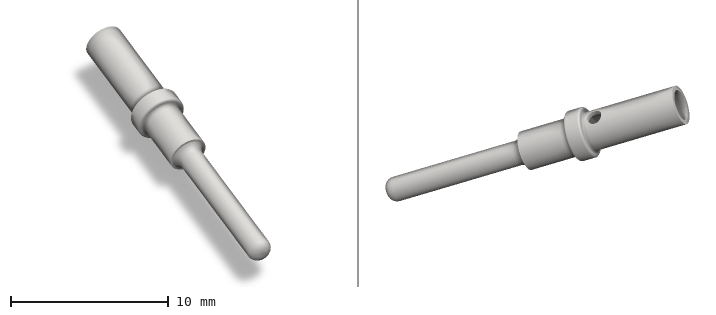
import cadquery as cq
import math

length = 20.57

barrel_radius = 1.28
barrel_end = 10.88

bore_radius = 0.99
bore_depth = 6.17

collar_radius = 1.67
collar_start = 6.35
collar_end = 7.49
collar_edge_round = 0.15
collar_root_fillet = 0.15

pin_radius = 0.8
neck_start_radius = 1.1
neck_length = 0.55
tip_round = 0.6

inspection_hole_radius = 0.5
inspection_hole_x = 5.5


def cylinder(start, end, radius):
    """Solid cylinder on the X axis between two X positions."""
    return cq.Workplane("YZ", origin=(start, 0, 0)).circle(radius).extrude(end - start)


def collar():
    """Collar with rounded rims and concave fillets down to the barrel."""
    start, end = collar_start, collar_end
    rim = collar_radius - collar_edge_round
    root = barrel_radius + collar_root_fillet
    return (
        cq.Workplane("XY")
        .moveTo(start - collar_root_fillet, 0)
        .lineTo(start - collar_root_fillet, barrel_radius)
        .radiusArc((start, root), -collar_root_fillet)
        .lineTo(start, rim)
        .radiusArc((start + collar_edge_round, collar_radius), collar_edge_round)
        .lineTo(end - collar_edge_round, collar_radius)
        .radiusArc((end, rim), collar_edge_round)
        .lineTo(end, root)
        .radiusArc((end + collar_root_fillet, barrel_radius), -collar_root_fillet)
        .lineTo(end + collar_root_fillet, 0)
        .close()
        .revolve(360, (0, 0, 0), (1, 0, 0))
    )


def neck():
    """Concave flare from the barrel shoulder, running tangent into the pin."""
    rise = neck_start_radius - pin_radius
    flare_radius = math.hypot(neck_length, rise) ** 2 / (2 * rise)
    return (
        cq.Workplane("XY")
        .moveTo(barrel_end, 0)
        .lineTo(barrel_end, neck_start_radius)
        .radiusArc((barrel_end + neck_length, pin_radius), -flare_radius)
        .lineTo(barrel_end + neck_length, 0)
        .close()
        .revolve(360, (0, 0, 0), (1, 0, 0))
    )


def inspection_hole():
    """Radial hole through the +Y wall of the barrel into the bore."""
    return (
        cq.Workplane("XZ", origin=(inspection_hole_x, 0, 0))
        .circle(inspection_hole_radius)
        .extrude(-collar_radius)
    )


barrel = cylinder(0, barrel_end, barrel_radius)
pin = cylinder(barrel_end, length, pin_radius).faces(">X").edges().fillet(tip_round)
bore = cylinder(0, bore_depth, bore_radius)

result = barrel.union(collar()).union(neck()).union(pin).cut(bore).cut(inspection_hole())